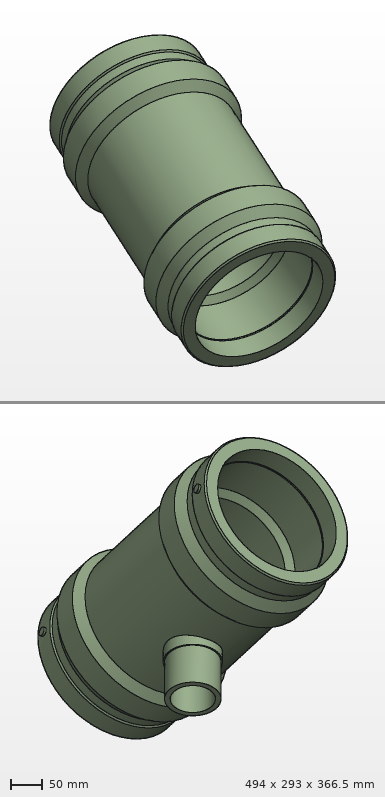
import cadquery as cq

total_length = 494.0
half_length = total_length / 2
pipe_radius = 263.7 / 2
bore_radius = 202.5 / 2

collar_radius = 272.49 / 2
neck_radius = 267.04 / 2
bulge_radius = 293.0 / 2
collar_bevel = collar_radius - neck_radius
collar_depth = 38.0
collar_end_depth = collar_depth + collar_bevel
neck_depth = 57.0
bulge_start_depth = 74.7
bulge_end_depth = 120.0
bulge_end_taper = bulge_radius - pipe_radius

socket_radius = 225.0 / 2
groove_radius = socket_radius + 0.2
socket_depth = 121.5
bore_taper = socket_radius - bore_radius

branch_radius = 90.0 / 2
branch_bore_radius = 72.0 / 2
branch_bottom = -220.0
branch_collar_radius = 94.5 / 2
branch_collar_bottom = -bulge_radius

stud_radius = 15.0 / 2
stud_end_y = 140.0
stud_depth = 20.0


def mirrored_revolve(end_profile):
    """Revolve about X a (depth, radius) profile that is the same at both pipe ends."""
    left = [(depth - half_length, radius) for depth, radius in end_profile]
    right = [(-x, radius) for x, radius in reversed(left)]
    outline = [(-half_length, 0)] + left + right + [(half_length, 0)]
    return cq.Workplane("XY").polyline(outline).close().revolve(360, (0, 0, 0), (1, 0, 0))


def make_pipe():
    """Outside of the pipe with a beveled collar, neck and bulge at each end."""
    return mirrored_revolve([
        (0, neck_radius),
        (collar_bevel, collar_radius),
        (collar_depth, collar_radius),
        (collar_end_depth, neck_radius),
        (neck_depth, neck_radius),
        (bulge_start_depth, bulge_radius),
        (bulge_end_depth, bulge_radius),
        (bulge_end_depth + bulge_end_taper, pipe_radius),
    ])


def make_bore():
    """Through bore, widened at each end to form the sockets."""
    return mirrored_revolve([
        (0, socket_radius),
        (collar_depth, socket_radius),
        (collar_depth, groove_radius),
        (collar_end_depth, groove_radius),
        (collar_end_depth, socket_radius),
        (socket_depth, socket_radius),
        (socket_depth + bore_taper, bore_radius),
    ])


def branch_cylinder(radius, bottom):
    """Vertical cylinder from the pipe axis down to the given height."""
    return cq.Workplane("XY").circle(radius).extrude(bottom)


def make_stud(x):
    """Stud starting inside the collar wall and ending at stud_end_y."""
    root_y = (socket_radius + collar_radius) / 2
    root_plane = cq.Workplane("XZ", origin=(x, root_y, 0))
    return root_plane.circle(stud_radius).extrude(root_y - stud_end_y)


body = make_pipe()
body = body.union(branch_cylinder(branch_collar_radius, branch_collar_bottom))
body = body.union(branch_cylinder(branch_radius, branch_bottom))
for side in (-1, 1):
    body = body.union(make_stud(side * (half_length - stud_depth)))

result = body.cut(make_bore()).cut(branch_cylinder(branch_bore_radius, branch_bottom))